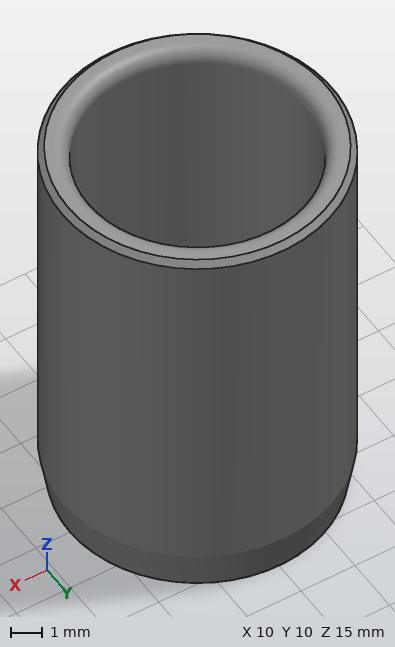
import cadquery as cq
import math

length = 15.0
outer_diameter = 10.0
bore_diameter = 8.0
lead_in_height = 1.5
lead_in_angle = 10.0
top_chamfer = 0.21
bore_mouth_radius = 0.5

outer_radius = outer_diameter / 2
bore_radius = bore_diameter / 2
lead_in_inset = lead_in_height * math.tan(math.radians(lead_in_angle))


def bushing_wall():
    """Revolve the half section: tapered lead-in below, chamfered rim and rounded bore mouth above."""
    mouth_arc_middle = (
        bore_radius + bore_mouth_radius * (1 - math.cos(math.pi / 4)),
        length - bore_mouth_radius * (1 - math.sin(math.pi / 4)),
    )
    section = (
        cq.Workplane("XZ")
        .moveTo(bore_radius, 0)
        .lineTo(outer_radius - lead_in_inset, 0)
        .lineTo(outer_radius, lead_in_height)
        .lineTo(outer_radius, length - top_chamfer)
        .lineTo(outer_radius - top_chamfer, length)
        .lineTo(bore_radius + bore_mouth_radius, length)
        .threePointArc(mouth_arc_middle, (bore_radius, length - bore_mouth_radius))
        .close()
    )
    return section.revolve(360, (0, 0, 0), (0, 1, 0))


result = bushing_wall()